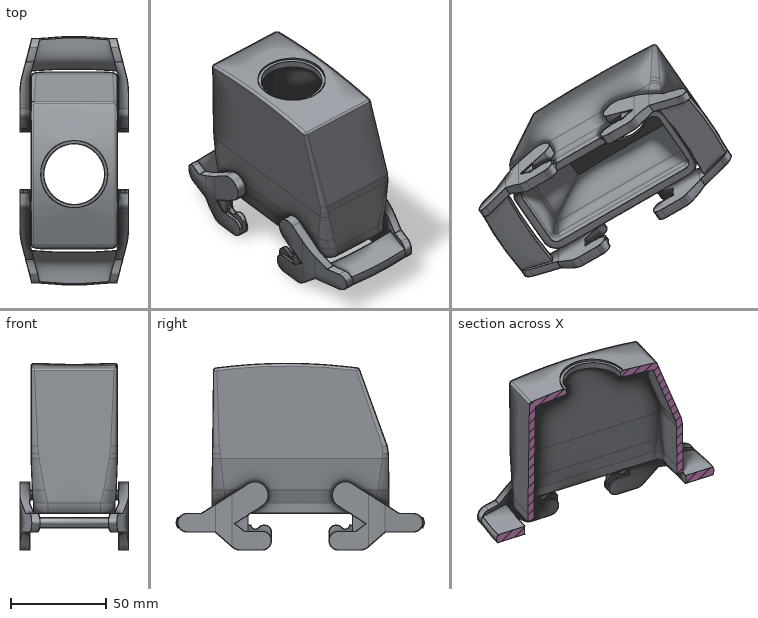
import cadquery as cq
import math


RIM_HALF_WIDTH = 21.4
RIM_FRONT_Y = -46.5
RIM_BACK_Y = 46.7
RIM_TOP_Z = 5.5
BELLY_Z = 12.4
BELLY_HALF_WIDTH = 22.0
FLARE_TOP_Z = 28.7
BODY_HALF_WIDTH = 22.7
KNEE_LOW_Z = 31.6
KNEE_HIGH_Z = 35.5
KNEE_LOW_Y = 46.3
KNEE_HIGH_Y = 45.7
BACK_SLOPE = math.radians(20)
FRONT_DRAFT = math.radians(0.75)
CROWN_TOP_Z = 78.8
CROWN_RADIUS = 287.1
LOFT_TOP_Z = CROWN_TOP_Z + 1.3
RIM_CORNER_RADIUS = 7.6
TOP_CORNER_RADIUS = 1.6
FRONT_CORNER_TAPER = 2.0
BACK_CORNER_TAPER = 3.2
CORNER_TOP_Z = 76.2
TOP_EDGE_FILLET = 1.5
WALL = 3.9
ROOF = 4.6
MIN_INNER_CORNER = 0.7

ENTRY_Y = -7.0
ENTRY_RADIUS = 15.9
SEAT_RADIUS = 17.6
SEAT_DEPTH = 0.7

LEVER_WIDTH = 57.0
LEVER_OUTER_X = LEVER_WIDTH / 2
ARM_THICKNESS = 5.2
ARM_INNER_X = LEVER_OUTER_X - ARM_THICKNESS
OUTER_BEND_Y = 35.8
OUTER_BEND_END_Y = 44.6
INNER_BEND_Y = 43.7
BEND_ANGLE = math.radians(14.5)
LEVER_END_Y = 65.2
ARM_START_Y = 13.0

PIVOT_Y = 23.8
PIVOT_Z = 9.7
PIVOT_END_RADIUS = 6.9
PIN_RADIUS = 2.6
PIN_INNER_X = RIM_HALF_WIDTH - 0.5 * WALL
ARM_SLOPE = math.radians(32.3)

HANDLE_HEIGHT = 9.8
HANDLE_RADIUS = HANDLE_HEIGHT / 2
HANDLE_CENTRE_Y = 59.4
HANDLE_ROOT_Y = OUTER_BEND_END_Y

LEVER_BOTTOM_Z = -19.3
HEEL_Z = -17.6
HEEL_END_Y = 31.3
HOOK_TOP_Z = -9.4
HOOK_RADIUS = (HOOK_TOP_Z - LEVER_BOTTOM_Z) / 2
HOOK_CENTRE_Y = 20.1
HOOK_CENTRE_Z = HOOK_TOP_Z - HOOK_RADIUS
HOOK_TIP_Y = HOOK_CENTRE_Y - HOOK_RADIUS
THROAT_Y = 34.6
THROAT_FLOOR_Y = 29.4

THROAT_SKIN = 0.5
THROAT_FILL_X = LEVER_OUTER_X - THROAT_SKIN
RAIL_SETBACK = 1.6
RAIL_THICKNESS = 2.5
RAIL_OUTER_X = LEVER_OUTER_X - RAIL_SETBACK
SHALLOW_THROAT_Y = 27.4
RAIL_TOP_Z = -6.1
NOTCH_START_Y = 26.0
NOTCH_BOTTOM = (23.8, -8.2)
NOTCH_END = (21.7, -7.3)
RAIL_BUMP_Y = 18.5

BAR_THICKNESS = 5.4
BAR_INNER_Y = 47.0
BAR_INNER_BOW = 1.2
EMBED = 1.3


def corner_radius(z, taper):
    """Corner radius shrinks from the rim band to the top, faster for a higher taper power."""
    z = min(max(z, RIM_TOP_Z), CORNER_TOP_Z)
    drop = (CORNER_TOP_Z - z) / (CORNER_TOP_Z - RIM_TOP_Z)
    return TOP_CORNER_RADIUS + (RIM_CORNER_RADIUS - TOP_CORNER_RADIUS) * drop**taper


def half_width(z):
    """Half width of the hood: upright above the flare, narrowing in two steps to the rim."""
    if z >= FLARE_TOP_Z:
        return BODY_HALF_WIDTH
    if z >= BELLY_Z:
        return BELLY_HALF_WIDTH
    return RIM_HALF_WIDTH


def front_y(z):
    """Front wall: upright band, then a slight draft to the top."""
    return RIM_FRONT_Y + max(z - RIM_TOP_Z, 0) * math.tan(FRONT_DRAFT)


def back_y(z):
    """Back wall: upright band, slight draft to the knee, then the slope."""
    if z <= RIM_TOP_Z:
        return RIM_BACK_Y
    if z <= KNEE_LOW_Z:
        draft = (RIM_BACK_Y - KNEE_LOW_Y) / (KNEE_LOW_Z - RIM_TOP_Z)
        return RIM_BACK_Y - draft * (z - RIM_TOP_Z)
    return KNEE_HIGH_Y - (z - KNEE_HIGH_Z) * math.tan(BACK_SLOPE)


def hood_section(z, inset):
    """Rounded rectangle outline of the hood at height z, moved inward by inset."""
    side = half_width(z) - inset
    front = front_y(z) + inset
    back = back_y(z) - inset
    front_radius = max(corner_radius(z, FRONT_CORNER_TAPER) - inset, MIN_INNER_CORNER)
    back_radius = max(corner_radius(z, BACK_CORNER_TAPER) - inset, MIN_INNER_CORNER)
    return (
        cq.Workplane("XY", origin=(0, 0, z))
        .moveTo(-side + front_radius, front)
        .lineTo(side - front_radius, front)
        .tangentArcPoint((side, front + front_radius), relative=False)
        .lineTo(side, back - back_radius)
        .tangentArcPoint((side - back_radius, back), relative=False)
        .lineTo(-side + back_radius, back)
        .tangentArcPoint((-side, back - back_radius), relative=False)
        .lineTo(-side, front + front_radius)
        .tangentArcPoint((-side + front_radius, front), relative=False)
        .wire()
        .val()
    )


def hood_body(inset, crown_drop):
    """Lofted hood shape moved inward by inset and capped by the arched crown, lowered by crown_drop."""
    heights = [0, RIM_TOP_Z, BELLY_Z, FLARE_TOP_Z, KNEE_LOW_Z, KNEE_HIGH_Z, LOFT_TOP_Z]
    sections = [hood_section(z, inset) for z in heights]
    body = cq.Workplane(cq.Solid.makeLoft(sections, True))
    crown = (
        cq.Workplane("YZ")
        .center(ENTRY_Y, CROWN_TOP_Z - CROWN_RADIUS)
        .circle(CROWN_RADIUS - crown_drop)
        .extrude(BODY_HALF_WIDTH * 2, both=True)
    )
    return body.intersect(crown).clean()


def entry_cylinder(radius, floor_z):
    bore = cq.Workplane("XY", origin=(0, ENTRY_Y, floor_z))
    return bore.circle(radius).extrude(LOFT_TOP_Z - floor_z)


def make_hood():
    hood = hood_body(0, 0).faces(">Z").edges().fillet(TOP_EDGE_FILLET)
    hood = hood.cut(hood_body(WALL, ROOF))
    crown_at_seat = CROWN_TOP_Z - CROWN_RADIUS + math.sqrt(CROWN_RADIUS**2 - SEAT_RADIUS**2)
    hood = hood.cut(entry_cylinder(SEAT_RADIUS, crown_at_seat - SEAT_DEPTH))
    below_roof_z = CROWN_TOP_Z - 2 * ROOF
    return hood.cut(entry_cylinder(ENTRY_RADIUS, below_roof_z))


def inner_arm_x(y):
    return ARM_INNER_X - max(y - INNER_BEND_Y, 0) * math.tan(BEND_ANGLE)


def arm_plan():
    """Arm seen in plan: straight beside the hood, then bent inward toward the handle."""
    bend_length = OUTER_BEND_END_Y - OUTER_BEND_Y
    bend_end_x = LEVER_OUTER_X - bend_length * math.tan(BEND_ANGLE / 2)
    tip_x = bend_end_x - (LEVER_END_Y - OUTER_BEND_END_Y) * math.tan(BEND_ANGLE)
    return (
        cq.Workplane("XY", origin=(0, 0, LEVER_BOTTOM_Z))
        .moveTo(ARM_INNER_X, ARM_START_Y)
        .lineTo(LEVER_OUTER_X, ARM_START_Y)
        .lineTo(LEVER_OUTER_X, OUTER_BEND_Y)
        .tangentArcPoint((bend_end_x, OUTER_BEND_END_Y), relative=False)
        .lineTo(tip_x, LEVER_END_Y)
        .lineTo(inner_arm_x(LEVER_END_Y), LEVER_END_Y)
        .lineTo(ARM_INNER_X, INNER_BEND_Y)
        .close()
        .extrude(PIVOT_Z + PIVOT_END_RADIUS - LEVER_BOTTOM_Z)
    )


def arm_side():
    """Arm seen from the side: pivot end, sloping web, handle and hook."""
    offset_y = PIVOT_END_RADIUS * math.sin(ARM_SLOPE)
    offset_z = PIVOT_END_RADIUS * math.cos(ARM_SLOPE)
    upper = (PIVOT_Y + offset_y, PIVOT_Z + offset_z)
    lower = (PIVOT_Y - offset_y, PIVOT_Z - offset_z)
    pivot_tip = (PIVOT_Y - offset_z, PIVOT_Z + offset_y)
    handle_top_y = upper[0] + upper[1] / math.tan(ARM_SLOPE)
    throat_z = lower[1] - (THROAT_Y - lower[0]) * math.tan(ARM_SLOPE)
    handle_tip = (HANDLE_CENTRE_Y + HANDLE_RADIUS, -HANDLE_RADIUS)
    return (
        cq.Workplane("YZ")
        .moveTo(*upper)
        .lineTo(handle_top_y, 0)
        .lineTo(HANDLE_CENTRE_Y, 0)
        .threePointArc(handle_tip, (HANDLE_CENTRE_Y, -HANDLE_HEIGHT))
        .lineTo(HANDLE_ROOT_Y, -HANDLE_HEIGHT)
        .lineTo(OUTER_BEND_Y, HEEL_Z)
        .tangentArcPoint((HEEL_END_Y, LEVER_BOTTOM_Z), relative=False)
        .lineTo(HOOK_CENTRE_Y, LEVER_BOTTOM_Z)
        .threePointArc((HOOK_TIP_Y, HOOK_CENTRE_Z), (HOOK_CENTRE_Y, HOOK_TOP_Z))
        .lineTo(THROAT_FLOOR_Y, HOOK_TOP_Z)
        .lineTo(THROAT_Y, throat_z)
        .lineTo(*lower)
        .threePointArc(pivot_tip, upper)
        .close()
        .extrude(LEVER_OUTER_X)
    )


def throat_filler():
    """Block behind the outer skin that makes the throat shallower."""
    corner = (ARM_INNER_X, SHALLOW_THROAT_Y, HOOK_TOP_Z)
    return cq.Workplane("XY", origin=corner).box(
        THROAT_FILL_X - ARM_INNER_X,
        THROAT_Y - SHALLOW_THROAT_Y,
        -HOOK_TOP_Z,
        centered=False,
    )


def hook_rail():
    """Raised rail along the hook, with a rounded notch and a bump at the tip."""
    return (
        cq.Workplane("YZ", origin=(RAIL_OUTER_X - RAIL_THICKNESS, 0, 0))
        .moveTo(SHALLOW_THROAT_Y, RAIL_TOP_Z)
        .lineTo(NOTCH_START_Y, RAIL_TOP_Z)
        .threePointArc(NOTCH_BOTTOM, NOTCH_END)
        .threePointArc((RAIL_BUMP_Y, RAIL_TOP_Z), (HOOK_TIP_Y, HOOK_TOP_Z))
        .lineTo(HOOK_TIP_Y, HOOK_CENTRE_Z)
        .lineTo(SHALLOW_THROAT_Y, HOOK_CENTRE_Z)
        .close()
        .extrude(RAIL_THICKNESS)
    )


def pivot_pin():
    pin = cq.Workplane("YZ", origin=(PIN_INNER_X, PIVOT_Y, PIVOT_Z))
    return pin.circle(PIN_RADIUS).extrude(ARM_INNER_X + EMBED - PIN_INNER_X)


def handle_bar():
    """Bar whose rounded outer edge meets the arm ends flush and bows outward in the middle."""
    bottom_z = -HANDLE_RADIUS - BAR_THICKNESS / 2
    top_z = bottom_z + BAR_THICKNESS
    arm_end_y = HANDLE_CENTRE_Y + HANDLE_RADIUS
    inner_x = inner_arm_x(BAR_INNER_Y) + EMBED
    outer_x = inner_arm_x(LEVER_END_Y) + EMBED
    plate = (
        cq.Workplane("XY", origin=(0, 0, bottom_z))
        .moveTo(-inner_x, BAR_INNER_Y)
        .threePointArc((0, BAR_INNER_Y + BAR_INNER_BOW), (inner_x, BAR_INNER_Y))
        .lineTo(outer_x, LEVER_END_Y)
        .lineTo(-outer_x, LEVER_END_Y)
        .close()
        .extrude(BAR_THICKNESS)
    )
    outer_bow = LEVER_END_Y - arm_end_y
    bow_half_length = inner_arm_x(arm_end_y)
    bow_radius = (bow_half_length**2 + outer_bow**2) / (2 * outer_bow)
    edge_depth = HANDLE_RADIUS - math.sqrt(HANDLE_RADIUS**2 - (BAR_THICKNESS / 2) ** 2)
    round_edged_disc = (
        cq.Workplane("XZ")
        .moveTo(0, bottom_z)
        .lineTo(bow_radius - edge_depth, bottom_z)
        .threePointArc((bow_radius, -HANDLE_RADIUS), (bow_radius - edge_depth, top_z))
        .lineTo(0, top_z)
        .close()
        .revolve(360, (0, 0, 0), (0, 1, 0))
        .translate((0, LEVER_END_Y - bow_radius, 0))
    )
    return plate.intersect(round_edged_disc)


def make_lever():
    arm = arm_side().intersect(arm_plan())
    arm = arm.union(throat_filler()).union(hook_rail()).union(pivot_pin())
    return arm.union(arm.mirror("YZ")).union(handle_bar())


lever = make_lever()
result = make_hood().union(lever).union(lever.mirror("XZ")).solids()